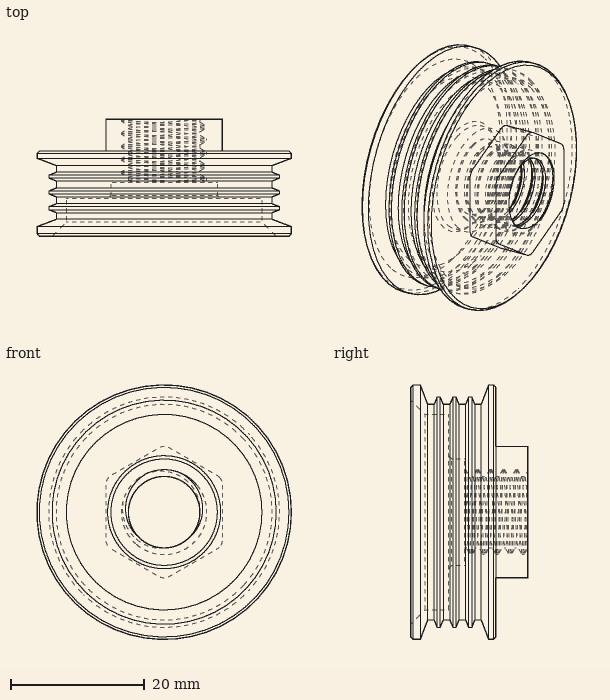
import cadquery as cq
import math

outer_radius = 19.05
body_width = 12.75
rim_chamfer = 0.4
front_rim_width = 1.45
back_rim_width = 1.1

groove_radius = 16.15
rim_slope_length = 1.1
rib_count = 3
rib_pitch = 2.35
rib_radius = 17.25
rib_crest_width = 0.45
rib_base_width = 1.37

recess_mouth_radius = 16.75
recess_floor_radius = 14.63
recess_taper_depth = 2.15
recess_depth = 5.65

counterbore_radius = 7.95
counterbore_depth = 2.45
counterbore_chamfer = 0.5

hex_across_flats = 17.45
hex_length = 4.75
hex_corner_radius = 1.6

thread_minor_radius = 5.35
thread_major_radius = 6.35
thread_pitch = 1.95
thread_crest_width = thread_pitch / 4
thread_root_width = thread_pitch / 8
thread_start_angle = -90
groove_overlap = 0.08

total_length = body_width + hex_length
counterbore_floor = recess_depth + counterbore_depth
groove_start = front_rim_width + rim_slope_length
groove_end = body_width - back_rim_width - rim_slope_length
groove_middle = (groove_start + groove_end) / 2


def revolve_about_y(points):
    """Turn a closed outline of (radius, y) points around the Y axis."""
    return cq.Workplane("XY").polyline(points).close().revolve(360, (0, 0, 0), (0, 1, 0))


def rib_points(middle):
    """Outline of one trapezoidal rib standing on the groove floor."""
    return [
        (groove_radius, middle - rib_base_width / 2),
        (rib_radius, middle - rib_crest_width / 2),
        (rib_radius, middle + rib_crest_width / 2),
        (groove_radius, middle + rib_base_width / 2),
    ]


def make_body():
    points = [
        (0, 0),
        (outer_radius - rim_chamfer, 0),
        (outer_radius, rim_chamfer),
        (outer_radius, front_rim_width),
        (groove_radius, groove_start),
    ]
    for index in range(rib_count):
        points += rib_points(groove_middle + (index - (rib_count - 1) / 2) * rib_pitch)
    points += [
        (groove_radius, groove_end),
        (outer_radius, body_width - back_rim_width),
        (outer_radius, body_width - rim_chamfer),
        (outer_radius - rim_chamfer, body_width),
        (0, body_width),
    ]
    return revolve_about_y(points)


def make_hex_boss():
    """Hexagon with corners pointing up and down and rounded edges."""
    corner_diameter = hex_across_flats / math.cos(math.pi / 6)
    return (
        cq.Workplane("XZ", origin=(0, body_width, 0))
        .transformed(rotate=(0, 0, 90))
        .polygon(6, corner_diameter)
        .extrude(-hex_length)
        .edges("|Y")
        .fillet(hex_corner_radius)
    )


def make_front_cavity():
    """Tapered recess and chamfered counterbore as one cutter."""
    return revolve_about_y([
        (0, 0),
        (recess_mouth_radius, 0),
        (recess_floor_radius, recess_taper_depth),
        (recess_floor_radius, recess_depth),
        (counterbore_radius + counterbore_chamfer, recess_depth),
        (counterbore_radius, recess_depth + counterbore_chamfer),
        (counterbore_radius, counterbore_floor),
        (0, counterbore_floor),
    ])


def make_tapped_hole():
    """Bore with a helical groove as one cutter, overrunning both ends by one pitch."""
    mouth_half_width = (thread_pitch - thread_crest_width) / 2
    root_half_width = thread_root_width / 2
    thread_depth = thread_major_radius - thread_minor_radius
    flank_slope = (mouth_half_width - root_half_width) / thread_depth

    inner_radius = thread_minor_radius - groove_overlap
    inner_half_width = mouth_half_width + groove_overlap * flank_slope
    helix_length = total_length - counterbore_floor + 2 * thread_pitch
    helix = cq.Wire.makeHelix(thread_pitch, helix_length, thread_minor_radius)
    groove = (
        cq.Workplane("XZ")
        .polyline([
            (inner_radius, -inner_half_width),
            (thread_major_radius, -root_half_width),
            (thread_major_radius, root_half_width),
            (inner_radius, inner_half_width),
        ])
        .close()
        .sweep(cq.Workplane(helix), isFrenet=True)
    )
    core = cq.Workplane("XY").circle(thread_minor_radius).extrude(helix_length)
    return (
        core.union(groove)
        .rotate((0, 0, 0), (0, 0, 1), thread_start_angle)
        .rotate((0, 0, 0), (1, 0, 0), -90)
        .translate((0, counterbore_floor - thread_pitch, 0))
    )


result = (
    make_body()
    .union(make_hex_boss())
    .cut(make_front_cavity())
    .cut(make_tapped_hole())
)